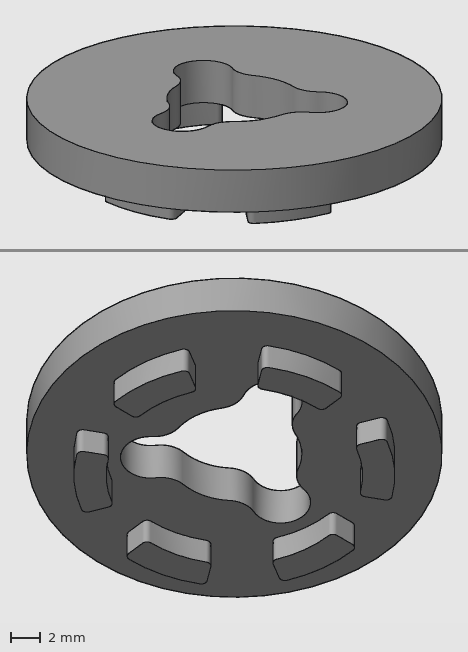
import cadquery as cq
import math

disc_diameter = 27.7
disc_thickness = 3.0

hole_core_radius = 4.5
lobe_count = 3
lobe_radius = 2.0
lobe_center_radius = 5.6
hole_blend_radius = 2.0

lug_count = 6
lug_height = 2.0
lug_inner_radius = 8.55
lug_outer_radius = 10.7
lug_span_angle = 33.0
lug_corner_radius = 0.4

pattern_angle = 10.0


def polar_point(radius, angle):
    """Point in the XY plane at an angle in degrees from +X."""
    return (radius * math.cos(math.radians(angle)), radius * math.sin(math.radians(angle)))


def make_disc():
    """Plain round plate resting on Z = 0."""
    return cq.Workplane("XY").circle(disc_diameter / 2).extrude(disc_thickness)


def make_hole_cutter():
    """Round core with evenly spaced lobes, blended where they meet."""
    core = cq.Workplane("XY").circle(hole_core_radius).extrude(disc_thickness)
    lobes = (
        cq.Workplane("XY")
        .polarArray(lobe_center_radius, pattern_angle, 360, lobe_count)
        .circle(lobe_radius)
        .extrude(disc_thickness)
    )

    crossing_cosine = (lobe_center_radius**2 + hole_core_radius**2 - lobe_radius**2) / (
        2 * lobe_center_radius * hole_core_radius
    )
    crossing_angle = math.degrees(math.acos(crossing_cosine))

    cutter = core.union(lobes)
    corners = []
    for index in range(lobe_count):
        lobe_angle = pattern_angle + index * 360 / lobe_count
        for angle in (lobe_angle - crossing_angle, lobe_angle + crossing_angle):
            corner = (*polar_point(hole_core_radius, angle), disc_thickness / 2)
            corners += cutter.edges(cq.selectors.NearestToPointSelector(corner)).vals()
    return cutter.newObject(corners).fillet(hole_blend_radius)


def make_lug(center_angle):
    """Ring sector hanging below the disc, with all four upright corners rounded."""
    start = center_angle - lug_span_angle / 2
    end = center_angle + lug_span_angle / 2
    return (
        cq.Workplane("XY")
        .moveTo(*polar_point(lug_inner_radius, start))
        .lineTo(*polar_point(lug_outer_radius, start))
        .threePointArc(polar_point(lug_outer_radius, center_angle), polar_point(lug_outer_radius, end))
        .lineTo(*polar_point(lug_inner_radius, end))
        .threePointArc(polar_point(lug_inner_radius, center_angle), polar_point(lug_inner_radius, start))
        .close()
        .extrude(-lug_height)
        .edges("|Z")
        .fillet(lug_corner_radius)
    )


result = make_disc().cut(make_hole_cutter())
for lug_index in range(lug_count):
    result = result.union(make_lug(pattern_angle + lug_index * 360 / lug_count))